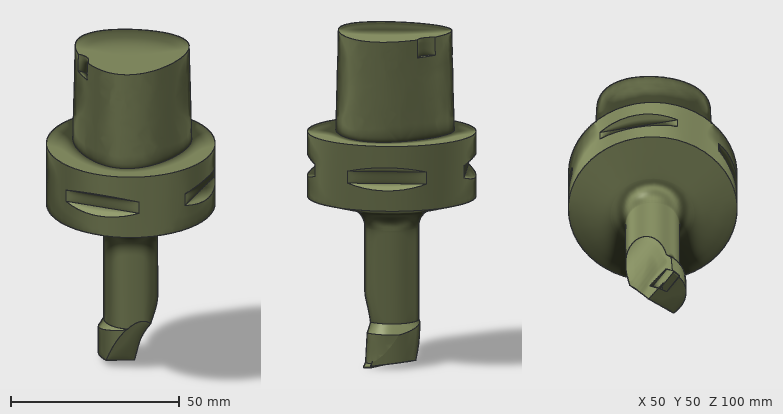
import cadquery as cq
import math


TAPER_HEIGHT = 30.0
TAPER_MEAN_RADIUS = 17.5
TAPER_ECCENTRICITY = 1.2
TAPER_RATE = 1 / 40
TAPER_SAMPLES = 24
KEYWAY_RADIUS = 4.8
KEYWAY_BOTTOM_RADIUS = 13.9
KEYWAY_DEPTH = 5.4

FLANGE_RADIUS = 25.0
FLANGE_HEIGHT = 19.5
CONE_ANGLE = math.radians(15)
SHANK_RADIUS = 8.0
NECK_FILLET = 6.0

SLOT_COUNT = 4
SLOT_Z = -9.9
SLOT_FLAT_RADIUS = 22.1
SLOT_FLAT_HEIGHT = 3.6
SLOT_SIDE_ANGLE = math.radians(30)

TOOL_LENGTH = 70.0
SHANK_END_Z = -56.6
HEAD_TOP_Z = -59.6
HEAD_TOP_RADIUS = 9.7
HEAD_END_RADIUS = 10.5
FLANK_RADIUS = 9.2
FLANK_CENTER_X = -1.2
END_CLEARANCE_ANGLE = 11
END_LIFT = 0.3
BACK_RELIEF_START_Z = -54.4
BACK_RELIEF_ANGLE = math.radians(24.3)

FLUTE_RADIUS = 17.5
FLUTE_TANGENT_Z = -62.5
FLUTE_TILT = 16
FLUTE_YAW = 4
FLUTE_PIVOT_X = -10.5

INSERT_CIRCLE = 6.35
INSERT_ANGLE = 55
INSERT_THICKNESS = 2.4
INSERT_CLEARANCE = 7
INSERT_NOSE_RADIUS = 0.4
INSERT_TIP_X = -11.1
INSERT_LEAD = 3

CUT = 60.0


def polygon_wire(z):
    """Three-lobed trochoid with one lobe pointing to +Y."""
    mean = TAPER_MEAN_RADIUS - TAPER_RATE * z

    def point(u):
        t = 2 * math.pi * u
        return (
            TAPER_ECCENTRICITY * math.sin(2 * t) - mean * math.sin(t),
            mean * math.cos(t) + TAPER_ECCENTRICITY * math.cos(2 * t),
            z,
        )

    points = [cq.Vector(*point(i / TAPER_SAMPLES)) for i in range(TAPER_SAMPLES)]
    spline = cq.Edge.makeSpline(points, periodic=True)
    return cq.Wire.assembleEdges([spline])


def make_taper():
    taper = cq.Workplane(cq.Solid.makeLoft([polygon_wire(0), polygon_wire(TAPER_HEIGHT)]))
    keyway = (
        cq.Workplane("XY", origin=(0, 0, TAPER_HEIGHT - KEYWAY_DEPTH))
        .center(0, -KEYWAY_BOTTOM_RADIUS - KEYWAY_RADIUS)
        .circle(KEYWAY_RADIUS)
        .extrude(KEYWAY_DEPTH)
    )
    return taper.cut(keyway)


def make_turned_body():
    """Flange, conical underside, filleted neck, shank and flared head."""
    center_r = SHANK_RADIUS + NECK_FILLET
    start_r = center_r - NECK_FILLET * math.sin(CONE_ANGLE)
    start_z = -FLANGE_HEIGHT - (FLANGE_RADIUS - start_r) * math.tan(CONE_ANGLE)
    center_z = start_z - NECK_FILLET * math.cos(CONE_ANGLE)
    middle = math.pi - (math.pi / 2 - CONE_ANGLE) / 2
    return (
        cq.Workplane("XZ")
        .lineTo(FLANGE_RADIUS, 0)
        .lineTo(FLANGE_RADIUS, -FLANGE_HEIGHT)
        .lineTo(start_r, start_z)
        .threePointArc(
            (center_r + NECK_FILLET * math.cos(middle), center_z + NECK_FILLET * math.sin(middle)),
            (SHANK_RADIUS, center_z),
        )
        .lineTo(SHANK_RADIUS, SHANK_END_Z)
        .lineTo(HEAD_TOP_RADIUS, HEAD_TOP_Z)
        .lineTo(HEAD_END_RADIUS, -TOOL_LENGTH)
        .lineTo(0, -TOOL_LENGTH)
        .close()
        .revolve(360, (0, 0, 0), (0, 1, 0))
    )


def gripper_slot(angle):
    half_flat = SLOT_FLAT_HEIGHT / 2
    depth = FLANGE_RADIUS - SLOT_FLAT_RADIUS
    half_mouth = half_flat + depth * math.tan(SLOT_SIDE_ANGLE)
    return (
        cq.Workplane("XZ", origin=(0, 0, SLOT_Z))
        .polyline([
            (SLOT_FLAT_RADIUS, -half_flat),
            (FLANGE_RADIUS, -half_mouth),
            (FLANGE_RADIUS, half_mouth),
            (SLOT_FLAT_RADIUS, half_flat),
        ])
        .close()
        .extrude(FLANGE_RADIUS, both=True)
        .rotate((0, 0, 0), (0, 0, 1), angle)
    )


def head_flank():
    """Waste around the off-centre cylinder that relieves the head."""
    kept_cylinder = (
        cq.Workplane("XY", origin=(FLANK_CENTER_X, 0, -TOOL_LENGTH))
        .circle(FLANK_RADIUS)
        .extrude(TOOL_LENGTH)
    )
    head_block = (
        cq.Workplane("XY", origin=(0, 0, -TOOL_LENGTH))
        .circle(FLANGE_RADIUS)
        .extrude(TOOL_LENGTH + SHANK_END_Z)
    )
    return head_block.cut(kept_cylinder)


def end_clearance():
    """Wedge below the head that rises towards -Y."""
    return (
        cq.Workplane("XY")
        .box(CUT, CUT, CUT, centered=(True, True, False))
        .translate((0, 0, -CUT))
        .rotate((0, 0, 0), (1, 0, 0), -END_CLEARANCE_ANGLE)
        .translate((0, 0, END_LIFT - TOOL_LENGTH))
    )


def back_relief():
    """Slanted flat on the +X side of the head."""
    drop = TOOL_LENGTH + BACK_RELIEF_START_Z
    return (
        cq.Workplane("XZ")
        .moveTo(SHANK_RADIUS, BACK_RELIEF_START_Z)
        .lineTo(SHANK_RADIUS - drop * math.tan(BACK_RELIEF_ANGLE), -TOOL_LENGTH)
        .lineTo(FLANGE_RADIUS, -TOOL_LENGTH)
        .lineTo(FLANGE_RADIUS, BACK_RELIEF_START_Z)
        .close()
        .extrude(CUT / 2, both=True)
    )


def chip_flute():
    """Flat chip face that runs up into the shank in a concave arc."""
    half = math.sqrt(0.5) * FLUTE_RADIUS
    return (
        cq.Workplane("YZ")
        .threePointArc((FLUTE_RADIUS - half, half), (FLUTE_RADIUS, FLUTE_RADIUS))
        .lineTo(FLUTE_RADIUS, -FLUTE_RADIUS)
        .lineTo(0, -FLUTE_RADIUS)
        .close()
        .extrude(CUT / 2, both=True)
        .rotate((0, 0, 0), (0, 1, 0), FLUTE_TILT)
        .translate((0, 0, FLUTE_TANGENT_Z))
        .rotate((FLUTE_PIVOT_X, 0, 0), (FLUTE_PIVOT_X, 0, 1), FLUTE_YAW)
    )


def insert_outline():
    """Rhombus on the chip plane with its nose at the lower -X corner."""
    side = INSERT_CIRCLE / math.sin(math.radians(INSERT_ANGLE))
    half_angle = math.radians(INSERT_ANGLE / 2)
    half_long = side * math.cos(half_angle)
    half_short = side * math.sin(half_angle)
    axis = math.radians(INSERT_LEAD) + half_angle
    nose_offset = half_long - INSERT_NOSE_RADIUS / math.sin(half_angle)
    center_x = INSERT_TIP_X + INSERT_NOSE_RADIUS + nose_offset * math.cos(axis)
    center_z = INSERT_NOSE_RADIUS - TOOL_LENGTH + nose_offset * math.sin(axis)
    return (
        cq.Workplane("XZ", origin=(center_x, 0, center_z))
        .transformed(rotate=(0, 0, math.degrees(axis)))
        .polyline([(-half_long, 0), (0, -half_short), (half_long, 0), (0, half_short)])
        .close()
    )


def make_insert():
    plate = insert_outline().extrude(INSERT_THICKNESS, taper=INSERT_CLEARANCE)
    side_edges = plate.edges("not #Y")
    return side_edges.edges("<X or >X").fillet(INSERT_NOSE_RADIUS)


def make_holder(insert):
    turned = make_turned_body()
    for index in range(SLOT_COUNT):
        turned = turned.cut(gripper_slot((index + 0.5) * 360 / SLOT_COUNT))
    for cutter in (head_flank(), end_clearance(), back_relief(), chip_flute()):
        turned = turned.cut(cutter)
    seat_opening = insert_outline().extrude(-INSERT_THICKNESS)
    return turned.union(make_taper()).cut(seat_opening).cut(insert)


insert = make_insert()
holder = make_holder(insert)
result = cq.Compound.makeCompound([holder.val(), insert.val()])